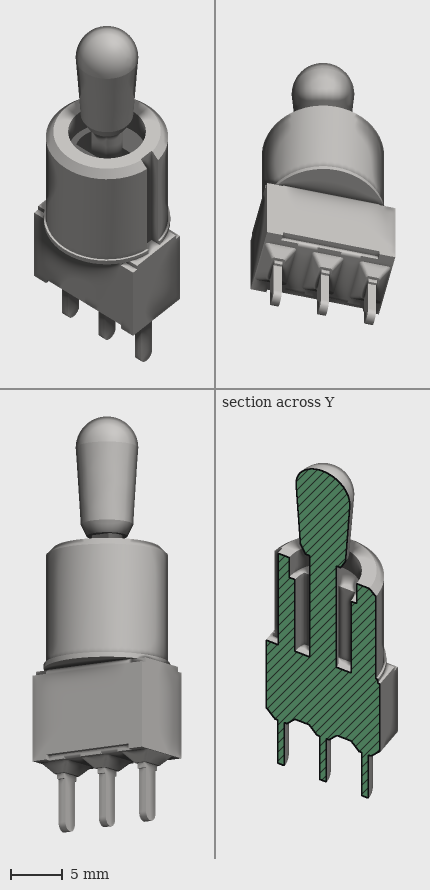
import cadquery as cq
import math


total_height = 40.4
pin_shoulder_z = 5.1
foot_bottom_z = 5.6
housing_bottom_z = 6.6
cover_bottom_z = 7.05
ledge_z = 15.02
housing_top_z = 15.5
flange_top_z = 16.0
bore_floor_z = 24.85
bushing_top_z = 27.4
knob_bottom_z = 28.63
knob_taper_z = 29.75

housing_length = 12.7
housing_width = 6.85
cover_length = 9.6
core_width = 5.65
cover_round = 0.52
sealant_round = 0.345
center_tab_length = 2.35
end_tab_length = 1.7

flange_diameter = 12.25
bushing_diameter = 11.85
bushing_chamfer = 0.73
bore_diameter = 7.5
lever_slot_length = 6.2
lever_slot_width = 2.6
keyway_width = 1.6
keyway_x = 5.0

neck_diameter = 3.03
neck_width = 2.35
knob_radius = 3.03
knob_lower_radius = 2.55
knob_bottom_radius = 1.98

pin_pitch = 4.7
pin_thickness = 0.8
pin_width = 1.6
shoulder_width = 2.1
foot_length = 3.1
foot_width = 4.45
foot_inset = 0.9
foot_corner_radius = 0.35


def block(length, width, bottom_z, top_z, x=0.0):
    """Box centred on Y = 0 and on the given X, between two heights."""
    return (
        cq.Workplane("XY", origin=(x, 0, bottom_z))
        .rect(length, width)
        .extrude(top_z - bottom_z)
    )


def cylinder(diameter, bottom_z, top_z):
    """Cylinder on the Z axis between two heights."""
    return (
        cq.Workplane("XY", origin=(0, 0, bottom_z))
        .circle(diameter / 2)
        .extrude(top_z - bottom_z)
    )


def make_housing():
    cheek_length = (housing_length - cover_length) / 2
    cheek_x = (housing_length - cheek_length) / 2
    housing = block(cover_length, housing_width, cover_bottom_z, housing_top_z)
    housing = housing.faces(">Z").edges("|X").fillet(cover_round)
    for side in (-1, 1):
        housing = housing.union(
            block(cheek_length, housing_width, housing_bottom_z, ledge_z, side * cheek_x)
        )
        housing = housing.union(
            block(cheek_length, core_width, ledge_z, housing_top_z, side * cheek_x)
        )

    sealant = block(cover_length, core_width, housing_bottom_z, cover_bottom_z)
    housing = housing.union(sealant.faces("<Z").edges("|X").fillet(sealant_round))
    end_tab_x = (cover_length - end_tab_length) / 2
    tabs = ((-end_tab_x, end_tab_length), (0, center_tab_length), (end_tab_x, end_tab_length))
    for x, length in tabs:
        housing = housing.union(
            block(length, core_width, housing_bottom_z, cover_bottom_z, x)
        )
    return housing


def make_bushing():
    radius = bushing_diameter / 2
    profile = [
        (0, housing_top_z),
        (flange_diameter / 2, housing_top_z),
        (flange_diameter / 2, flange_top_z),
        (radius, flange_top_z),
        (radius, bushing_top_z - bushing_chamfer),
        (radius - bushing_chamfer, bushing_top_z),
        (0, bushing_top_z),
    ]
    bushing = cq.Workplane("XZ").polyline(profile).close().revolve(360, (0, 0), (0, 1))
    bore = cylinder(bore_diameter, bore_floor_z, bushing_top_z)

    lever_slot = cylinder(lever_slot_length, housing_top_z, bore_floor_z).intersect(
        block(lever_slot_length, lever_slot_width, housing_top_z, bore_floor_z)
    )

    keyway_depth = flange_diameter / 2 - keyway_x
    keyway = block(
        keyway_depth, keyway_width, housing_top_z, bushing_top_z, keyway_x + keyway_depth / 2
    )
    return bushing.cut(bore).cut(lever_slot).cut(keyway)


def make_lever():
    neck = cylinder(neck_diameter, housing_top_z, knob_bottom_z).intersect(
        block(neck_diameter, neck_width, housing_top_z, knob_bottom_z)
    )

    dome_z = total_height - knob_radius
    dome_middle = knob_radius * math.sqrt(0.5)
    knob = (
        cq.Workplane("XZ")
        .moveTo(0, knob_bottom_z)
        .lineTo(knob_bottom_radius, knob_bottom_z)
        .lineTo(knob_lower_radius, knob_taper_z)
        .lineTo(knob_radius, dome_z)
        .threePointArc((dome_middle, dome_z + dome_middle), (0, total_height))
        .close()
        .revolve(360, (0, 0), (0, 1))
    )
    return neck.union(knob)


def make_pin(x):
    """Flat pin with a rounded tip, hanging from a tapered foot."""
    foot_height = housing_bottom_z - foot_bottom_z
    foot = (
        cq.Workplane("XY", origin=(x, 0, housing_bottom_z))
        .rect(foot_length, foot_width)
        .workplane(offset=-foot_height)
        .rect(foot_length - 2 * foot_inset, foot_width - 2 * foot_inset)
        .loft()
    )
    foot = foot.edges("not #Z").fillet(foot_corner_radius)
    shoulder = block(pin_thickness, shoulder_width, pin_shoulder_z, foot_bottom_z, x)

    tip_radius = pin_width / 2
    blade = (
        cq.Workplane("YZ", origin=(x, 0, 0))
        .moveTo(-tip_radius, pin_shoulder_z)
        .lineTo(-tip_radius, tip_radius)
        .threePointArc((0, 0), (tip_radius, tip_radius))
        .lineTo(tip_radius, pin_shoulder_z)
        .close()
        .extrude(pin_thickness / 2, both=True)
    )
    return foot.union(shoulder).union(blade)


result = make_housing().union(make_bushing()).union(make_lever())
for position in (-1, 0, 1):
    result = result.union(make_pin(position * pin_pitch))